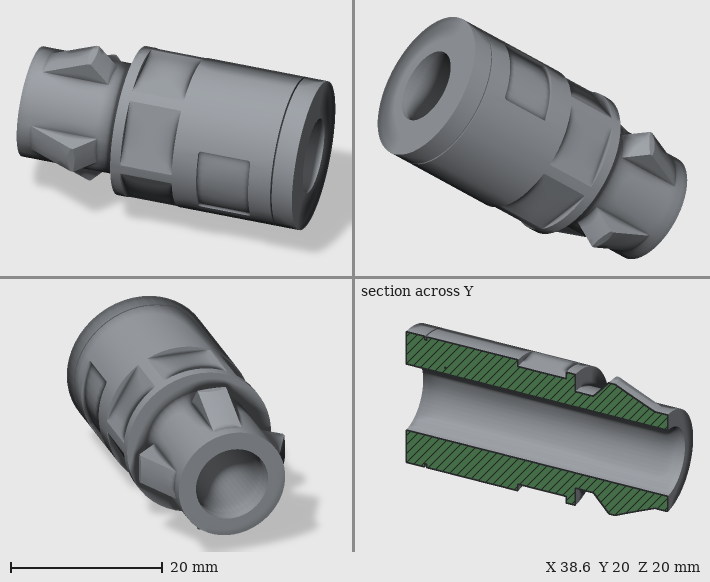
import cadquery as cq
import math

length = 38.6
body_diameter = 20.0
neck_diameter = 14.8
bore_diameter = 10.0
neck_length = 13.63
body_radius = body_diameter / 2
neck_radius = neck_diameter / 2

flat_count = 6
flat_start = 15.0
flat_length = 7.05
flat_to_flat = 18.0

recess_diameter = 19.0
groove_start = 35.6
groove_width = 0.25
window_start = 25.45
window_length = 7.15
window_height = 9.45
window_corner_radius = 0.4

barb_count = 4
barb_width = 3.95
barb_start = 1.93
barb_end = 11.0
barb_peak_x = 8.45
barb_peak_radius = 10.3


def cylinder(start, span, diameter):
    """Solid cylinder on the X axis."""
    return cq.Workplane("YZ", origin=(start, 0, 0)).circle(diameter / 2).extrude(span)


def ring_cutter(start, span, inner_diameter):
    """Ring that trims the body down to an inner diameter."""
    outer = cylinder(start, span, body_diameter + 0.77)
    return outer.cut(cylinder(start, span, inner_diameter))


def hexagon_cutter():
    """Material outside the six wrench flats, with one flat facing +Z."""
    across_corners = flat_to_flat / math.cos(math.pi / flat_count)
    hexagon = (
        cq.Workplane("YZ", origin=(flat_start, 0, 0))
        .polygon(flat_count, across_corners)
        .extrude(flat_length)
    )
    return cylinder(flat_start, flat_length, across_corners + 0.77).cut(hexagon)


def window_cutter():
    """Rounded windows on the -Y and +Y sides with a cylindrical floor."""
    opening = (
        cq.Workplane("XY")
        .box(window_length, body_diameter + 0.77, window_height)
        .edges("|Y")
        .fillet(window_corner_radius)
        .translate((window_start + window_length / 2, 0, 0))
    )
    return opening.intersect(ring_cutter(window_start, window_length, recess_diameter))


def barbs():
    """Four barbs with conical ramps, flat sides and flat crests."""
    base_radius = (bore_diameter + neck_diameter) / 4
    cones = (
        cq.Workplane("XZ")
        .moveTo(barb_start, base_radius)
        .lineTo(barb_start, neck_radius)
        .lineTo(barb_peak_x, barb_peak_radius)
        .lineTo(barb_end, neck_radius)
        .lineTo(barb_end, base_radius)
        .close()
        .revolve(360, (0, 0, 0), (1, 0, 0))
    )
    blade = cq.Workplane("XY").box(
        neck_length, barb_width, body_radius, centered=(False, True, False)
    )
    blades = blade
    for index in range(1, barb_count):
        blades = blades.union(blade.rotate((0, 0, 0), (1, 0, 0), index * 360 / barb_count))
    return cones.intersect(blades)


body = cylinder(0, neck_length, neck_diameter)
body = body.union(cylinder(neck_length, length - neck_length, body_diameter))
body = body.cut(cylinder(0, length, bore_diameter))
body = body.cut(hexagon_cutter())
body = body.cut(window_cutter())
body = body.cut(ring_cutter(groove_start, groove_width, recess_diameter))
result = body.union(barbs())